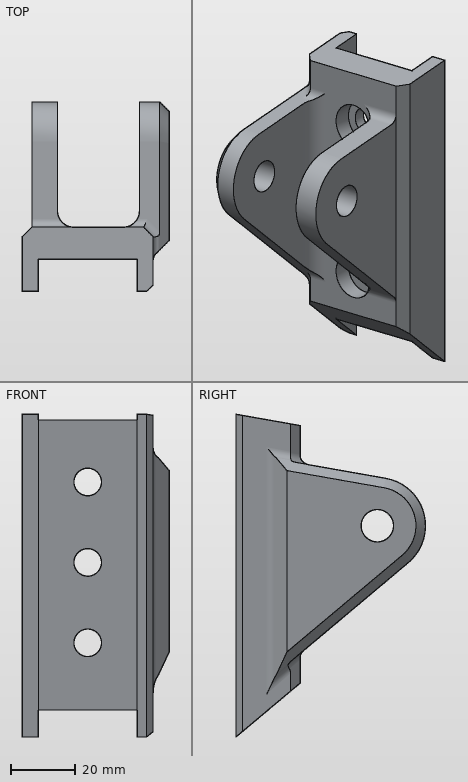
import cadquery as cq
import math

BODY_WIDTH = 40.7
BODY_DEPTH = 20.0
FRONT_HEIGHT = 100.39
WALL = 5.0
CHANNEL_DEPTH = 10.0
TOP_ANGLE = math.radians(10)
BOTTOM_ANGLE = math.radians(40)
BACK_CHAMFER = 3.0
FRONT_CHAMFER = 2.0

MOUNT_HOLE_DIAMETER = 8.5
COUNTERBORE_DIAMETER = 14.0
COUNTERBORE_DEPTH = 6.0
MOUNT_HOLE_PITCH = 25.0
MOUNT_HOLE_COUNT = 3
MOUNT_ROW_CENTER_Z = 54.3

LUG_RADIUS = 15.0
LUG_OVERHANG = 5.0
LUG_CHAMFER = 3.0
LUG_ROOT_FILLET = 3.0
FLARE_START_Y = 10.85
LEFT_LUG_THICKNESS = 8.0
SLOT_WIDTH = 25.4
SLOT_CORNER_RADIUS = 5.0
PIN_Y = 43.96
PIN_Z = 65.7
PIN_DIAMETER = 10.0

LEFT_LUG_X = BACK_CHAMFER
RIGHT_LUG_X = BODY_WIDTH + LUG_OVERHANG
LUG_TIP_Y = PIN_Y + LUG_RADIUS
SLOT_LEFT_X = LEFT_LUG_X + LEFT_LUG_THICKNESS

MARGIN = 1.0


def make_body():
    """Solid bar with sloped ends and the two chamfers of its right side."""
    side = (
        cq.Workplane("YZ")
        .polyline([
            (0, 0),
            (BODY_DEPTH, BODY_DEPTH * math.tan(BOTTOM_ANGLE)),
            (BODY_DEPTH, FRONT_HEIGHT - BODY_DEPTH * math.tan(TOP_ANGLE)),
            (0, FRONT_HEIGHT),
        ])
        .close()
        .extrude(BODY_WIDTH)
    )
    plan = (
        cq.Workplane("XY")
        .polyline([
            (0, 0),
            (BODY_WIDTH - FRONT_CHAMFER, 0),
            (BODY_WIDTH, FRONT_CHAMFER),
            (BODY_WIDTH, BODY_DEPTH - BACK_CHAMFER),
            (BODY_WIDTH - BACK_CHAMFER, BODY_DEPTH),
            (0, BODY_DEPTH),
        ])
        .close()
        .extrude(FRONT_HEIGHT)
    )
    return side.intersect(plan)


def lug_top_z(radius, y):
    """Height at depth y of the upper tangent of a lug outline."""
    return PIN_Z + radius / math.cos(TOP_ANGLE) + (PIN_Y - y) * math.tan(TOP_ANGLE)


def lug_bottom_z(radius, y):
    """Height at depth y of the lower tangent of a lug outline."""
    return PIN_Z - radius / math.cos(BOTTOM_ANGLE) - (PIN_Y - y) * math.tan(BOTTOM_ANGLE)


def draw_lug_side(workplane, radius):
    """Draw a lug outline on a YZ workplane: an arc about the pin and its two sloped tangents."""
    arc_top = (PIN_Y + radius * math.sin(TOP_ANGLE), PIN_Z + radius * math.cos(TOP_ANGLE))
    arc_bottom = (PIN_Y + radius * math.sin(BOTTOM_ANGLE), PIN_Z - radius * math.cos(BOTTOM_ANGLE))
    return (
        workplane.moveTo(0, lug_top_z(radius, 0))
        .lineTo(*arc_top)
        .threePointArc((PIN_Y + radius, PIN_Z), arc_bottom)
        .lineTo(0, lug_bottom_z(radius, 0))
        .close()
    )


def make_lug_block():
    """Solid block for both lugs, flaring out at 45 degrees past the right wall."""
    side = draw_lug_side(cq.Workplane("YZ"), LUG_RADIUS).extrude(RIGHT_LUG_X)
    plan = (
        cq.Workplane("XY")
        .polyline([
            (0, FLARE_START_Y),
            (BODY_WIDTH, FLARE_START_Y),
            (RIGHT_LUG_X, FLARE_START_Y + LUG_OVERHANG),
            (RIGHT_LUG_X, LUG_TIP_Y),
            (0, LUG_TIP_Y),
        ])
        .close()
        .extrude(FRONT_HEIGHT)
    )
    return side.intersect(plan)


def fillet_lug_root(part):
    """Round the joint of the lug block with the back, the back chamfer and the right wall."""
    chamfer_start_y = BODY_DEPTH - BACK_CHAMFER
    back_edges = cq.selectors.BoxSelector(
        (MARGIN, chamfer_start_y, lug_bottom_z(LUG_RADIUS, chamfer_start_y)),
        (BODY_WIDTH - MARGIN, BODY_DEPTH + MARGIN, lug_top_z(LUG_RADIUS, chamfer_start_y)),
    )
    wall_edges = cq.selectors.BoxSelector(
        (BODY_WIDTH - MARGIN, FLARE_START_Y - MARGIN, lug_bottom_z(LUG_RADIUS, FLARE_START_Y)),
        (BODY_WIDTH + MARGIN, chamfer_start_y - MARGIN, lug_top_z(LUG_RADIUS, FLARE_START_Y)),
    )
    return part.edges(back_edges + wall_edges).fillet(LUG_ROOT_FILLET)


def bevel_right_lug(part):
    """Chamfer the outer rim of the right lug at 45 degrees, down to the right wall."""
    wall_radius = LUG_RADIUS + LUG_OVERHANG - LUG_CHAMFER
    face_radius = LUG_RADIUS - LUG_CHAMFER
    wall_side = draw_lug_side(cq.Workplane("YZ", origin=(BODY_WIDTH, 0, 0)), wall_radius)
    bevel = draw_lug_side(wall_side.workplane(offset=LUG_OVERHANG), face_radius).loft(ruled=True)
    start_x = BODY_WIDTH + (LUG_OVERHANG - LUG_CHAMFER) / 2
    overhang = cq.Workplane("XY").box(
        RIGHT_LUG_X - start_x + MARGIN, LUG_TIP_Y + MARGIN, FRONT_HEIGHT, centered=False
    ).translate((start_x, 0, 0))
    return part.cut(overhang.cut(bevel))


def cut_left_side(part):
    """Set the left lug in from the body and chamfer the back left corner."""
    cutter = (
        cq.Workplane("XY")
        .polyline([
            (-MARGIN, BODY_DEPTH - BACK_CHAMFER - MARGIN),
            (BACK_CHAMFER, BODY_DEPTH),
            (BACK_CHAMFER, LUG_TIP_Y + MARGIN),
            (-MARGIN, LUG_TIP_Y + MARGIN),
        ])
        .close()
        .extrude(FRONT_HEIGHT)
    )
    return part.cut(cutter)


def cut_slot(part):
    """Open the space between the lugs, with rounded corners at the back of the body."""
    slot = (
        cq.Workplane("XY")
        .box(SLOT_WIDTH, LUG_TIP_Y - BODY_DEPTH + MARGIN, FRONT_HEIGHT, centered=False)
        .edges("|Z and <Y")
        .fillet(SLOT_CORNER_RADIUS)
        .translate((SLOT_LEFT_X, BODY_DEPTH, 0))
    )
    return part.cut(slot)


def cut_channel(part):
    """Open the channel in the front face over the full length."""
    channel = cq.Workplane("XY").box(
        BODY_WIDTH - 2 * WALL, CHANNEL_DEPTH, FRONT_HEIGHT, centered=False
    ).translate((WALL, 0, 0))
    return part.cut(channel)


def make_y_cylinder(diameter, start_y, end_y):
    """Cylinder along Y, centred on X = 0 and Z = 0."""
    cylinder = cq.Workplane("XZ").circle(diameter / 2).extrude(start_y - end_y)
    return cylinder.translate((0, start_y, 0))


def cut_mount_holes(part):
    """Drill the row of holes through the channel floor and counterbore them from the slot."""
    drill = make_y_cylinder(MOUNT_HOLE_DIAMETER, 0, LUG_TIP_Y)
    counterbore = make_y_cylinder(COUNTERBORE_DIAMETER, BODY_DEPTH - COUNTERBORE_DEPTH, LUG_TIP_Y)
    stepped_tool = drill.union(counterbore)
    for index in range(MOUNT_HOLE_COUNT):
        offset = (index - (MOUNT_HOLE_COUNT - 1) / 2) * MOUNT_HOLE_PITCH
        part = part.cut(stepped_tool.translate((BODY_WIDTH / 2, 0, MOUNT_ROW_CENTER_Z + offset)))
    return part


def cut_pin_hole(part):
    """Drill the pin hole through both lugs."""
    drill = cq.Workplane("YZ").center(PIN_Y, PIN_Z).circle(PIN_DIAMETER / 2).extrude(RIGHT_LUG_X)
    return part.cut(drill)


result = make_body().union(make_lug_block())
result = fillet_lug_root(result)
result = bevel_right_lug(result)
result = cut_left_side(result)
result = cut_slot(result)
result = cut_channel(result)
result = cut_mount_holes(result)
result = cut_pin_hole(result)